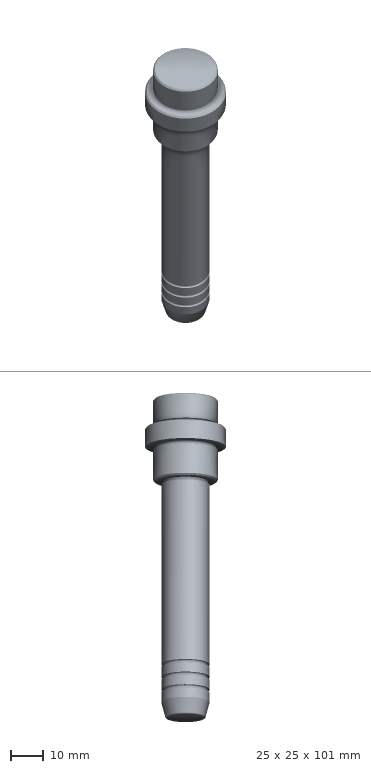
import cadquery as cq
import math

total_length = 101.0

head_radius = 10.0
head_length = 9.0
head_chamfer = 0.5
flange_radius = 12.5
flange_thickness = 6.0
flange_chamfer = 0.5
collar_length = 11.0
collar_chamfer = 0.5

shank_radius = 7.5
tip_length = 5.0
tip_angle = 15.0
tip_fillet = 0.5

undercut_width = 1.0
undercut_depth = 0.5

groove_radius = 0.5
ring_groove_count = 3
ring_groove_pitch = 4.0
first_ring_groove_bottom = tip_length + 3.0

flange_top = total_length - head_length
flange_bottom = flange_top - flange_thickness
collar_bottom = flange_bottom - collar_length


def cylinder(radius, bottom, top):
    """Solid cylinder on the Z axis between two heights."""
    return cq.Workplane("XY").workplane(offset=bottom).circle(radius).extrude(top - bottom)


def groove(radius, bottom):
    """Half-round ring to remove around a cylinder of the given radius."""
    middle = bottom + groove_radius
    top = bottom + 2 * groove_radius
    floor = radius - groove_radius
    diagonal = groove_radius * math.sqrt(0.5)
    return (
        cq.Workplane("XZ")
        .moveTo(radius, bottom)
        .threePointArc((radius - diagonal, middle - diagonal), (floor, middle))
        .threePointArc((radius - diagonal, middle + diagonal), (radius, top))
        .close()
        .revolve(360, (0, 0, 0), (0, 1, 0))
    )


def make_tip():
    """Cone narrowing downwards from the shank, with a rounded end."""
    end_radius = shank_radius - tip_length * math.tan(math.radians(tip_angle))
    cone = (
        cq.Workplane("XY")
        .circle(end_radius)
        .workplane(offset=tip_length)
        .circle(shank_radius)
        .loft(ruled=True)
    )
    return cone.faces("<Z").edges().fillet(tip_fillet)


def make_shank():
    """Shank with its ring grooves and the undercut below the collar."""
    undercut_bottom = collar_bottom - undercut_width
    shank = cylinder(shank_radius, tip_length, undercut_bottom)
    for index in range(ring_groove_count):
        bottom = first_ring_groove_bottom + index * ring_groove_pitch
        shank = shank.cut(groove(shank_radius, bottom))
    neck = cylinder(shank_radius - undercut_depth, undercut_bottom, collar_bottom)
    return shank.union(neck)


def make_collar():
    """Collar below the flange, chamfered at its lower end and grooved at its upper end."""
    collar = cylinder(head_radius, collar_bottom, flange_bottom)
    collar = collar.faces("<Z").edges().chamfer(collar_chamfer)
    return collar.cut(groove(head_radius, flange_bottom - 2 * groove_radius))


def make_flange():
    """Flange with a chamfered upper rim."""
    flange = cylinder(flange_radius, flange_bottom, flange_top)
    return flange.faces(">Z").edges().chamfer(flange_chamfer)


def make_head():
    """Head above the flange, chamfered on top and grooved at its base."""
    head = cylinder(head_radius, flange_top, total_length)
    head = head.faces(">Z").edges().chamfer(head_chamfer)
    return head.cut(groove(head_radius, flange_top))


result = (
    make_tip()
    .union(make_shank())
    .union(make_collar())
    .union(make_flange())
    .union(make_head())
)